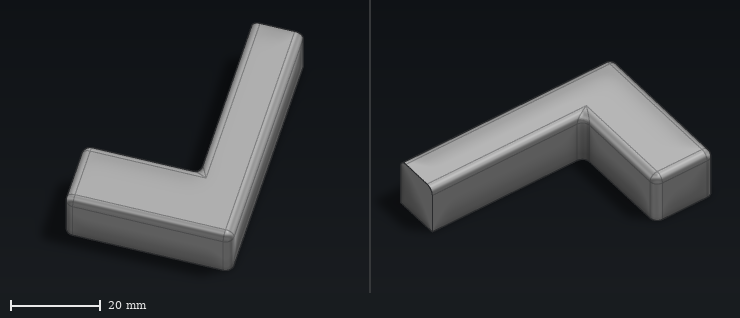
import cadquery as cq

width = 38.8
length = 58.15
height = 13.0

leg_width = 12.0
foot_depth = 16.3

edge_radius = 2.0

inner_corner_x = width - leg_width
inner_corner = cq.selectors.NearestToPointSelector((inner_corner_x, foot_depth, height / 2))


def l_block():
    """Sharp-edged L: a foot along X and a leg along Y."""
    outline = [
        (0, 0),
        (width, 0),
        (width, length),
        (inner_corner_x, length),
        (inner_corner_x, foot_depth),
        (0, foot_depth),
    ]
    return cq.Workplane("XY").polyline(outline).close().extrude(height)


def round_outside(block):
    """Round the top rim and outside corners, leaving the leg's end face and the base sharp."""
    rounded_edges = block.edges("(>Z or |Z) and (not >Y)")
    return rounded_edges.edges(cq.selectors.InverseSelector(inner_corner)).fillet(edge_radius)


def round_inner_corner(block):
    """Blend the inside corner; the blend follows the mitre of the top rim and narrows to a point."""
    return block.edges("|Z").edges(inner_corner).fillet(edge_radius)


result = round_inner_corner(round_outside(l_block()))